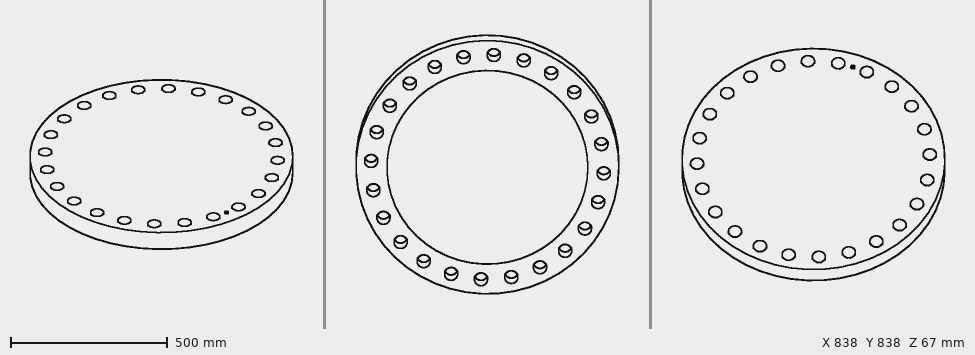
import cadquery as cq
import math

plate_diameter = 838.0
total_thickness = 67.0
raised_face_diameter = 640.0
raised_face_height = 2.0
plate_thickness = total_thickness - raised_face_height

bolt_count = 24
bolt_circle_radius = 371.0
bolt_hole_diameter = 42.0
bolt_pitch_angle = 360.0 / bolt_count

small_step_diameter = 12.5
small_step_depth = 3.0
small_hole_diameter = 7.0
small_hole_depth = 33.5
small_hole_angle = math.radians(bolt_pitch_angle / 2)


def make_blank():
    """Plate and raised face, with the underside of the raised face at Z = 0."""
    raised_face = cq.Workplane("XY").circle(raised_face_diameter / 2).extrude(raised_face_height)
    plate = (
        cq.Workplane("XY", origin=(0, 0, raised_face_height))
        .circle(plate_diameter / 2)
        .extrude(plate_thickness)
    )
    return plate.union(raised_face)


def cut_bolt_holes(body):
    return (
        body.faces(">Z")
        .workplane()
        .polarArray(bolt_circle_radius, 0, 360, bolt_count)
        .hole(bolt_hole_diameter)
    )


def cut_stepped_hole(body):
    center_x = bolt_circle_radius * math.cos(small_hole_angle)
    center_y = bolt_circle_radius * math.sin(small_hole_angle)
    return (
        body.faces(">Z")
        .workplane(origin=(0, 0, total_thickness))
        .center(center_x, center_y)
        .cboreHole(small_hole_diameter, small_step_diameter, small_step_depth, small_hole_depth)
    )


result = cut_stepped_hole(cut_bolt_holes(make_blank()))